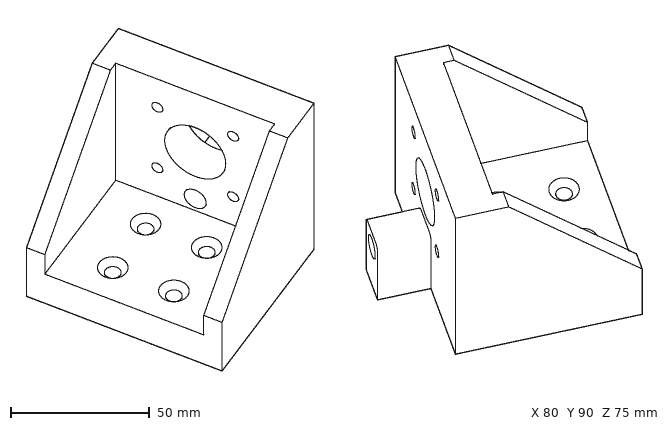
import cadquery as cq

width = 80.0
depth = 70.0
height = 75.0
side_wall = 7.5
base_thickness = 15.0
back_thickness = 16.0
top_flat = 20.0
front_height = 25.0

block_width = 15.0
block_length = 20.0
block_height = 29.0
block_fillet = 2.0

bore_diameter = 25.0
bore_height = 45.0
motor_hole_diameter = 4.5
motor_hole_pitch = 31.0
rod_hole_diameter = 9.0
rod_hole_height = 21.0

screw_diameter = 6.0
screw_head_diameter = 11.0
screw_head_angle = 90.0
screw_pitch = 25.0
screw_center_y = 27.0

inner_width = width - 2 * side_wall
back_inner_y = depth - back_thickness
full_depth = depth + block_length


def make_body():
    """Sloped bracket: side profile extruded across the width, then hollowed from the front."""
    profile = [
        (0, 0),
        (depth, 0),
        (depth, height),
        (depth - top_flat, height),
        (0, front_height),
    ]
    body = cq.Workplane("YZ").polyline(profile).close().extrude(width / 2, both=True)
    cavity = cq.Workplane("XY").box(
        inner_width, back_inner_y, height - base_thickness, centered=(True, False, False)
    )
    return body.cut(cavity.translate((0, 0, base_thickness)))


def make_block():
    """Rear block with its two long top edges rounded, joined to the back plate."""
    block = cq.Workplane("XY").box(
        block_width, block_length, block_height, centered=(True, False, False)
    )
    block = block.edges("|Y and >Z").fillet(block_fillet)
    return block.translate((0, depth, 0))


def cut_back_holes(part):
    """Bore, motor screw holes and rod hole, all running along Y."""
    plane = cq.Workplane("XZ", origin=(0, 0, bore_height))
    bore = plane.circle(bore_diameter / 2).extrude(-full_depth)
    motor_holes = (
        plane.rect(motor_hole_pitch, motor_hole_pitch, forConstruction=True)
        .vertices()
        .circle(motor_hole_diameter / 2)
        .extrude(-full_depth)
    )
    rod_hole = (
        cq.Workplane("XZ", origin=(0, 0, rod_hole_height))
        .circle(rod_hole_diameter / 2)
        .extrude(-full_depth)
    )
    return part.cut(bore).cut(motor_holes).cut(rod_hole)


def cut_base_holes(part):
    """Square pattern of screw holes, countersunk from the base's upper face."""
    return (
        part.copyWorkplane(cq.Workplane("XY", origin=(0, screw_center_y, base_thickness)))
        .rect(screw_pitch, screw_pitch, forConstruction=True)
        .vertices()
        .cskHole(screw_diameter, screw_head_diameter, screw_head_angle, depth=base_thickness)
    )


result = make_body().union(make_block())
result = cut_back_holes(result)
result = cut_base_holes(result)